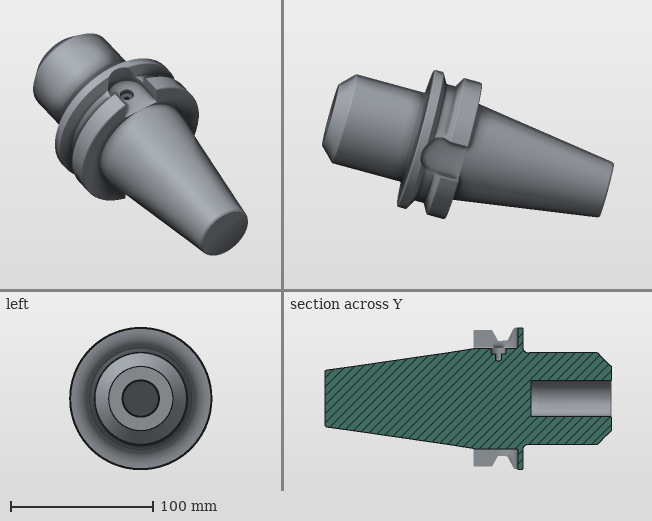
import cadquery as cq
import math

total_length = 201.8

nose_radius = 32.5
nose_face_radius = 22.6
nose_chamfer = nose_radius - nose_face_radius
nose_edge_round = 1.5
nose_end = 57.7
neck_diameter = 64.8
neck_radius = neck_diameter / 2
neck_fillet = 3.5

flange_radius = 50.0
rear_flange_radius = 49.8
flange_front = 62.2
flange_back = 97.0
flange_chamfer = 0.6
groove_radius = 42.5
groove_floor_start = 73.0
groove_floor_end = 79.7
groove_wall_angle = math.radians(30)
groove_front_rim = groove_floor_start - (flange_radius - groove_radius) * math.tan(groove_wall_angle)
groove_rear_rim = groove_floor_end + (rear_flange_radius - groove_radius) * math.tan(groove_wall_angle)
groove_edge_round = 0.8

taper_radius = 35.3
taper_end_chamfer = 1.2
taper_slope = 7 / 48

bore_diameter = 25.0
bore_depth = 56.5
bore_chamfer = 0.6

slot_floor_width = 25.0
slot_fillet = 0.8
slot_width = slot_floor_width + 2 * slot_fillet
slot_center_x = 79.5
slot_floor_height = 35.5
cut_clearance = 2.0

counterbore_diameter = 10.0
counterbore_depth = 4.0
pilot_diameter = 4.0
pilot_depth = 4.0
drill_half_angle = math.radians(59)


def make_body():
    """Revolve the outer profile, written as (x, radius), about X."""
    end_radius = taper_radius - taper_slope * (total_length - flange_back)
    chamfer_start = total_length - taper_end_chamfer
    chamfer_start_radius = taper_radius - taper_slope * (chamfer_start - flange_back)
    fillet_start = flange_front - neck_fillet
    fillet_middle = neck_fillet * math.sqrt(0.5)
    profile = (
        cq.Workplane("XY")
        .lineTo(0, nose_face_radius)
        .lineTo(nose_chamfer, nose_radius)
        .lineTo(nose_end, nose_radius)
        .lineTo(fillet_start, neck_radius)
        .threePointArc(
            (fillet_start + fillet_middle, neck_radius + neck_fillet - fillet_middle),
            (flange_front, neck_radius + neck_fillet),
        )
        .lineTo(flange_front, flange_radius - flange_chamfer)
        .lineTo(flange_front + flange_chamfer, flange_radius)
        .lineTo(groove_front_rim, flange_radius)
        .lineTo(groove_floor_start, groove_radius)
        .lineTo(groove_floor_end, groove_radius)
        .lineTo(groove_rear_rim, rear_flange_radius)
        .lineTo(flange_back - flange_chamfer, rear_flange_radius)
        .lineTo(flange_back, rear_flange_radius - flange_chamfer)
        .lineTo(flange_back, taper_radius)
        .lineTo(chamfer_start, chamfer_start_radius)
        .lineTo(total_length, end_radius - taper_end_chamfer / 2)
        .lineTo(total_length, 0)
        .close()
    )
    return profile.revolve(360, (0, 0, 0), (1, 0, 0))


def circle_edge_at(x, radius):
    """Select the circular edge around the X axis with this position and radius."""
    tolerance = 0.02
    corner = (x - tolerance, -radius - tolerance, -radius - tolerance)
    opposite = (x + tolerance, radius + tolerance, radius + tolerance)
    return cq.selectors.BoxSelector(corner, opposite, boundingbox=True)


def round_edges(body):
    """Soften the nose shoulder and the two groove rims."""
    body = body.edges(circle_edge_at(nose_chamfer, nose_radius)).fillet(nose_edge_round)
    groove_rims = ((groove_front_rim, flange_radius), (groove_rear_rim, rear_flange_radius))
    for rim_x, rim_radius in groove_rims:
        body = body.edges(circle_edge_at(rim_x, rim_radius)).fillet(groove_edge_round)
    return body


def make_bore():
    """Blind bore with a chamfered mouth."""
    bore_radius = bore_diameter / 2
    return (
        cq.Workplane("XY")
        .lineTo(0, bore_radius + bore_chamfer)
        .lineTo(bore_chamfer, bore_radius)
        .lineTo(bore_depth, bore_radius)
        .lineTo(bore_depth, 0)
        .close()
        .revolve(360, (0, 0, 0), (1, 0, 0))
    )


def make_slot():
    """Round-ended slot cutter, open through the rear flange face, with a filleted floor."""
    slot_length = flange_back - slot_center_x
    height = flange_radius - slot_floor_height + cut_clearance
    round_end = cq.Workplane("XY").circle(slot_width / 2).extrude(height)
    straight = cq.Workplane("XY").center(slot_length / 2, 0).rect(slot_length, slot_width).extrude(height)
    cutter = round_end.union(straight)
    cutter = cutter.faces("<Z").edges("not(>X)").fillet(slot_fillet)
    return cutter.translate((slot_center_x, 0, slot_floor_height))


def make_screw_hole():
    """Counterbore and drilled pilot hole, revolved about a vertical axis."""
    pilot_radius = pilot_diameter / 2
    point_length = pilot_radius / math.tan(drill_half_angle)
    pilot_bottom = -counterbore_depth - pilot_depth
    return (
        cq.Workplane("XZ")
        .lineTo(counterbore_diameter / 2, 0)
        .lineTo(counterbore_diameter / 2, -counterbore_depth)
        .lineTo(pilot_radius, -counterbore_depth)
        .lineTo(pilot_radius, pilot_bottom)
        .lineTo(0, pilot_bottom - point_length)
        .close()
        .revolve(360, (0, 0, 0), (0, 1, 0))
        .translate((slot_center_x, 0, slot_floor_height))
    )


result = round_edges(make_body()).cut(make_bore())
for slot_angle in (0, 180):
    result = result.cut(make_slot().rotate((0, 0, 0), (1, 0, 0), slot_angle))
result = result.cut(make_screw_hole())